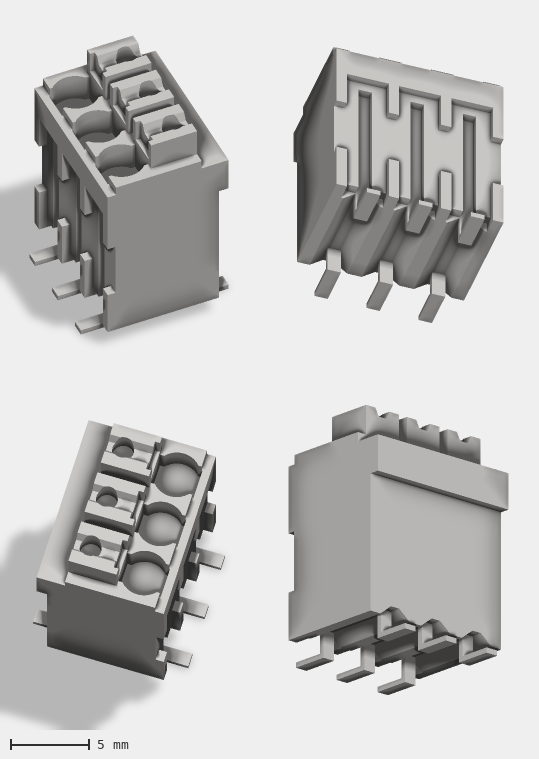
import cadquery as cq

poles = 3
pitch = 3.5
cell_width = 2.8
housing_width = 11.2
pole_positions = [(i - (poles - 1) / 2) * pitch for i in range(poles)]

housing_bottom = 1.17
shoulder_z = 12.83
housing_top = 13.47
head_depth = 8.44
foot_depth = 7.75
head_bottom = 10.39
rail_depth = 0.59

front_recess_depth = 0.54
cell_recess_top = 10.84
rib_gap_bottom = 4.38
rib_gap_top = 8.35
slot_top = 10.25

groove_top = 1.87
groove_bottom_width = 2.54
groove_top_width = 0.71

well_radius = 1.52
well_offset_x = -0.05
well_center_y = 1.93
well_throat_width = 2.0
well_front = 0.53
well_floor = 11.53

lever_top = 15.46
lever_front = 3.35
lever_depth = 3.2
lever_back = lever_front + lever_depth
lever_notch_depth = 0.54
lever_notch_top_width = 1.2
lever_notch_bottom_width = 0.63
lever_recess_width = 1.93
lever_recess_depth = 0.32
lever_recess_bottom = 13.93
lever_hole_radius = 0.7
lever_hole_y = 5.5
lever_hole_bottom = lever_recess_bottom

pin_width = 0.9
pin_thickness = 0.35
pin_top = 2.74
pin_front = 1.15
foot_length = 2.25
pins_middle_y = 4.04


def box(x_center, width, y_from, y_to, z_from, z_to):
    """Block centred on x_center, between the given y and z limits."""
    size = (width, y_to - y_from, z_to - z_from)
    return cq.Workplane("XY").box(*size, centered=(True, False, False)).translate((x_center, y_from, z_from))


def trapezoid_bar(x_center, z_bottom, bottom_width, z_top, top_width, y_from, y_to):
    """Bar along y with a symmetric trapezoid section."""
    section = [
        (x_center - bottom_width / 2, z_bottom),
        (x_center + bottom_width / 2, z_bottom),
        (x_center + top_width / 2, z_top),
        (x_center - top_width / 2, z_top),
    ]
    return cq.Workplane("XZ", origin=(0, y_from, 0)).polyline(section).close().extrude(y_from - y_to)


def make_front_pin(x):
    """L-shaped pin: an upright with a foot pointing to the front."""
    upright = box(x, pin_width, pin_front, pin_front + pin_thickness, 0, pin_top)
    foot = box(x, pin_width, pin_front - foot_length, pin_front, 0, pin_thickness)
    return upright.union(foot)


def make_back_pin(x):
    """Front pin mirrored about the plane midway between the pin rows."""
    return make_front_pin(x).mirror("XZ", (0, pins_middle_y, 0))


def make_lever(x):
    """Push lever with a notch along its top, a front recess and a blind round hole."""
    lever = box(x, cell_width, lever_front, lever_back, well_floor, lever_top)
    notch = trapezoid_bar(
        x, lever_top - lever_notch_depth, lever_notch_bottom_width,
        lever_top, lever_notch_top_width, lever_front, lever_back,
    )
    recess = box(
        x, lever_recess_width, lever_front, lever_front + lever_recess_depth,
        lever_recess_bottom, lever_top,
    )
    hole = (
        cq.Workplane("XY", origin=(x, lever_hole_y, lever_hole_bottom))
        .circle(lever_hole_radius)
        .extrude(lever_top - lever_hole_bottom)
    )
    return lever.cut(notch).cut(recess).cut(hole)


def housing_block():
    """Housing side profile extruded over the full width."""
    profile = [
        (0, housing_bottom),
        (foot_depth, housing_bottom),
        (foot_depth, head_bottom),
        (head_depth, head_bottom),
        (head_depth, shoulder_z),
        (lever_back, shoulder_z),
        (lever_back, housing_top),
        (rail_depth, housing_top),
        (rail_depth, shoulder_z),
        (0, shoulder_z),
    ]
    return cq.Workplane("YZ").polyline(profile).close().extrude(housing_width / 2, both=True)


def wire_well(x):
    """Round well with a straight throat running from the front rail to the lever."""
    height = housing_top - well_floor
    throat = box(x, well_throat_width, well_front, lever_front, well_floor, housing_top)
    round_part = cq.Workplane("XY", origin=(x, well_center_y, well_floor)).circle(well_radius).extrude(height)
    limit = box(x, 2 * well_radius, well_front, lever_front, well_floor, housing_top)
    return throat.union(round_part.intersect(limit))


def make_housing():
    housing = housing_block()
    rib_gap = box(0, housing_width, 0, front_recess_depth, rib_gap_bottom, rib_gap_top)
    housing = housing.cut(rib_gap)
    for x in pole_positions:
        cell_recess = box(x, cell_width, 0, front_recess_depth, housing_bottom, cell_recess_top)
        slot = box(x, pin_width, 0, pin_front, housing_bottom, slot_top)
        undercut = box(x, cell_width, 0, pin_front, housing_bottom, groove_top)
        groove = trapezoid_bar(
            x, housing_bottom, groove_bottom_width, groove_top, groove_top_width, 0, foot_depth,
        )
        lever_pocket = box(x, cell_width, lever_front, lever_back, well_floor, housing_top)
        for cutter in (cell_recess, slot, undercut, groove, wire_well(x + well_offset_x), lever_pocket):
            housing = housing.cut(cutter)
        for pin in (make_front_pin(x), make_back_pin(x)):
            housing = housing.cut(pin)
    return housing


housing = make_housing()
levers = [make_lever(x) for x in pole_positions]
front_pins = [make_front_pin(x) for x in pole_positions]
back_pins = [make_back_pin(x) for x in pole_positions]

result = cq.Compound.makeCompound(
    [housing.val()] + [body.val() for body in levers + front_pins + back_pins]
)